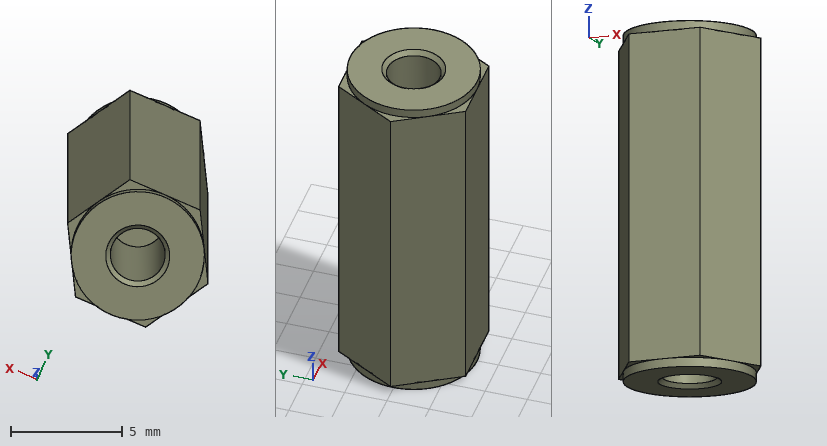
import cadquery as cq
import math

length = 16.0
across_flats = 6.0
across_corners = across_flats / math.cos(math.radians(30))

collar_height = 0.42

hole_diameter = 2.46
hole_depth = 6.0
countersink_diameter = 2.88
countersink_depth = (countersink_diameter - hole_diameter) / 2


def make_body():
    """Hexagonal bar, corners along X, with a round core forming both collars."""
    core = cq.Workplane("XY").circle(across_flats / 2).extrude(length)
    hexagon = (
        cq.Workplane("XY")
        .workplane(offset=collar_height)
        .polygon(6, across_corners)
        .extrude(length - 2 * collar_height)
    )
    return hexagon.union(core)


def make_hole_cutter():
    """Flat-bottomed hole rising from Z = 0, countersunk at its mouth."""
    hole_radius = hole_diameter / 2
    return (
        cq.Workplane("XZ")
        .moveTo(0, 0)
        .lineTo(countersink_diameter / 2, 0)
        .lineTo(hole_radius, countersink_depth)
        .lineTo(hole_radius, hole_depth)
        .lineTo(0, hole_depth)
        .close()
        .revolve(360, (0, 0, 0), (0, 1, 0))
    )


bottom_hole = make_hole_cutter()
top_hole = bottom_hole.mirror("XY", (0, 0, length / 2))

result = make_body().cut(bottom_hole).cut(top_hole)